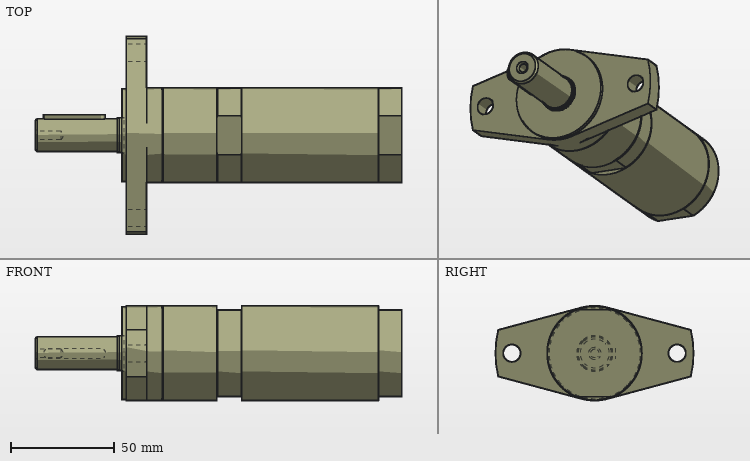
import cadquery as cq
import math


shaft_diameter = 16.0
shaft_tip_chamfer = 1.0
collar_lip_diameter = 17.1
collar_diameter = 16.95
collar_start = 39.8
collar_lip_width = 1.0

center_hole_diameter = 4.13
center_countersink_diameter = 6.0
center_hole_depth = 12.5
drill_point_angle = 118.0
countersink_angle = 90.0

key_width = 5.0
key_length = 30.0
key_start = 4.0
key_top = 10.0
key_bottom = 5.0

pilot_diameter = 45.0
body_diameter = 46.0
pilot_start = 42.0
flange_start = 44.0
neck_groove_start = 61.5
middle_flats_start = 88.0
middle_flats_end = 100.0
end_flats_start = 166.3
body_end = 177.5
joint_chamfer = 0.3
neck_groove_width = 0.5
neck_groove_diameter = 44.0
shaft_recess_diameter = 17.5
shaft_recess_depth = 1.0
across_flats = 42.0

flange_thickness = 10.0
flange_end_radius = 48.0
flange_end_half_width = 11.3
flange_hole_diameter = 8.3
flange_hole_spacing = 80.0


def cylinder(diameter, x_start, x_end):
    """Cylinder on the motor axis between two X positions."""
    profile = cq.Workplane("YZ").workplane(offset=x_start).circle(diameter / 2)
    return profile.extrude(x_end - x_start)


def cone(diameter, x_start, included_angle):
    """Cone on the motor axis that narrows toward +X to a sharp point."""
    radius = diameter / 2
    depth = radius / math.tan(math.radians(included_angle / 2))
    profile = cq.Workplane("XZ").moveTo(x_start, 0).lineTo(x_start, radius).lineTo(x_start + depth, 0).close()
    return profile.revolve(360, (0, 0, 0), (1, 0, 0))


def make_shaft():
    shaft = cylinder(shaft_diameter, 0, pilot_start).faces("<X").chamfer(shaft_tip_chamfer)
    shaft = shaft.union(cylinder(collar_lip_diameter, collar_start, collar_start + collar_lip_width))
    shaft = shaft.union(cylinder(collar_diameter, collar_start, pilot_start + shaft_recess_depth))
    return shaft.union(make_key())


def make_key():
    key = cq.Workplane("XZ", origin=(key_start + key_length / 2, key_top, 0))
    return key.slot2D(key_length, key_width).extrude(key_top - key_bottom)


def make_center_hole():
    hole = cylinder(center_hole_diameter, 0, center_hole_depth)
    hole = hole.union(cone(center_hole_diameter, center_hole_depth, drill_point_angle))
    return hole.union(cone(center_countersink_diameter, 0, countersink_angle))


def make_flange():
    """Plate with straight sides tangent to the body and rounded ends."""
    body_radius = body_diameter / 2
    corner_z = flange_end_half_width
    corner_y = math.sqrt(flange_end_radius**2 - corner_z**2)
    tangent_angle = math.asin(corner_z / flange_end_radius) + math.acos(body_radius / flange_end_radius)
    tangent_y = body_radius * math.cos(tangent_angle)
    tangent_z = body_radius * math.sin(tangent_angle)
    outline = (
        cq.Workplane("YZ", origin=(flange_start, 0, 0))
        .moveTo(corner_y, -corner_z)
        .threePointArc((flange_end_radius, 0), (corner_y, corner_z))
        .lineTo(tangent_y, tangent_z)
        .threePointArc((0, body_radius), (-tangent_y, tangent_z))
        .lineTo(-corner_y, corner_z)
        .threePointArc((-flange_end_radius, 0), (-corner_y, -corner_z))
        .lineTo(-tangent_y, -tangent_z)
        .threePointArc((0, -body_radius), (tangent_y, -tangent_z))
        .close()
    )
    holes = (
        cq.Workplane("YZ", origin=(flange_start, 0, 0))
        .rarray(flange_hole_spacing, 1, 2, 1)
        .circle(flange_hole_diameter / 2)
        .extrude(flange_thickness)
    )
    return outline.extrude(flange_thickness).cut(holes)


def flat_slab(x_start, x_end):
    """Slab whose top and bottom form the wrench flats when intersected with a body section."""
    slab = cq.Workplane("XY").box(x_end - x_start, body_diameter, across_flats, centered=(False, True, True))
    return slab.translate((x_start, 0, 0))


def make_front_body():
    """Pilot, neck and front section, with the neck groove and the recess around the shaft."""
    neck_groove_end = neck_groove_start + neck_groove_width
    front = cylinder(pilot_diameter, pilot_start, flange_start)
    front = front.union(cylinder(body_diameter, flange_start, neck_groove_start))
    front = front.union(cylinder(neck_groove_diameter, neck_groove_start, neck_groove_end))
    front = front.union(cylinder(body_diameter, neck_groove_end, middle_flats_start))
    return front.cut(cylinder(shaft_recess_diameter, pilot_start, pilot_start + shaft_recess_depth))


def make_middle_collar():
    """Flatted section between the front body and the housing, chamfered at both joints."""
    collar = cylinder(body_diameter, middle_flats_start, middle_flats_end)
    collar = collar.faces("<X or >X").chamfer(joint_chamfer)
    return collar.intersect(flat_slab(middle_flats_start, middle_flats_end))


def make_housing():
    return cylinder(body_diameter, middle_flats_end, end_flats_start).faces(">X").chamfer(joint_chamfer)


def make_end_collar():
    collar = cylinder(body_diameter, end_flats_start, body_end)
    return collar.intersect(flat_slab(end_flats_start, body_end))


body = make_front_body().union(make_middle_collar()).union(make_housing()).union(make_end_collar())
result = body.union(make_flange()).union(make_shaft()).cut(make_center_hole())